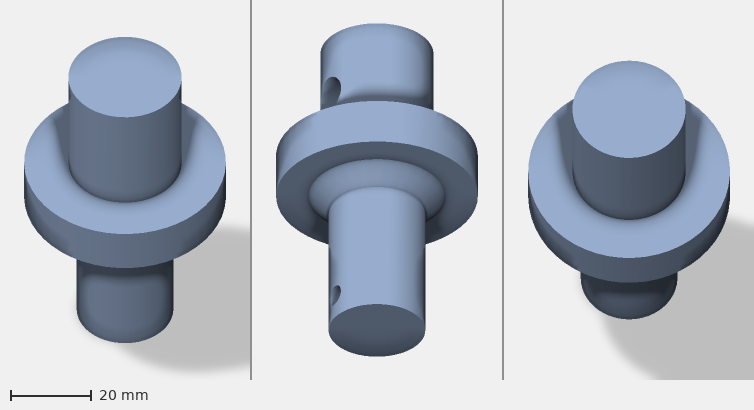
import cadquery as cq

total_height = 81.5
upper_diameter = 28.0
flange_diameter = 50.0
lower_diameter = 24.0

upper_length = 30.0
flange_thickness = 12.0
cone_height = 5.0

upper_hole_diameter = 10.3
upper_hole_from_top = 16.95
lower_hole_diameter = 5.2
lower_hole_height = 6.5

flange_top = total_height - upper_length
flange_bottom = flange_top - flange_thickness
cone_bottom = flange_bottom - cone_height
upper_radius = upper_diameter / 2
lower_radius = lower_diameter / 2
flange_radius = flange_diameter / 2
cone_top_radius = lower_radius + cone_height


def turned_body():
    """Stepped shaft with a flange and a conical collar under it."""
    return (
        cq.Workplane("XZ")
        .moveTo(0, 0)
        .lineTo(lower_radius, 0)
        .lineTo(lower_radius, cone_bottom)
        .lineTo(cone_top_radius, flange_bottom)
        .lineTo(flange_radius, flange_bottom)
        .lineTo(flange_radius, flange_top)
        .lineTo(upper_radius, flange_top)
        .lineTo(upper_radius, total_height)
        .lineTo(0, total_height)
        .close()
        .revolve(360, (0, 0), (0, 1))
    )


def radial_hole(diameter, height, depth):
    """Cutter running from the shaft axis out through the +Y side."""
    return cq.Workplane("XZ", origin=(0, 0, height)).circle(diameter / 2).extrude(-depth)


result = (
    turned_body()
    .cut(radial_hole(upper_hole_diameter, total_height - upper_hole_from_top, upper_radius))
    .cut(radial_hole(lower_hole_diameter, lower_hole_height, lower_radius))
)